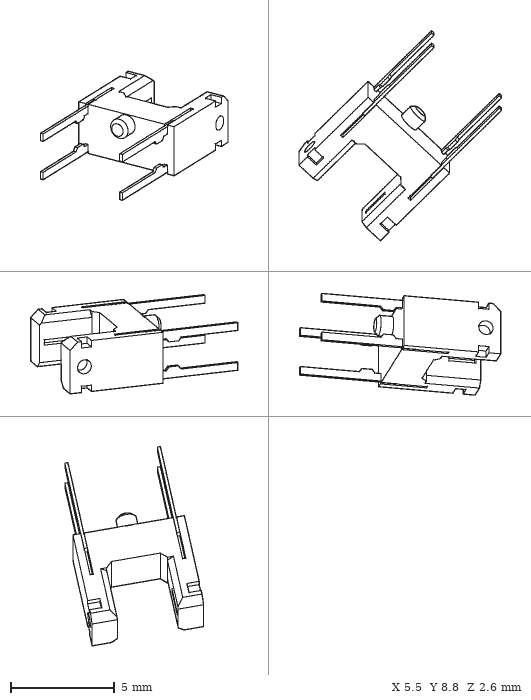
import cadquery as cq

total_length = 8.8
body_width = 5.5
body_length = 4.8
body_height = 2.6
top = body_height / 2
half_width = body_width / 2

gap_width = 2.99
gap_corner = 0.29
gap_bottom = 1.8
arm_start = gap_bottom + gap_corner
arm_length = body_length - arm_start

end_bevel = 0.39
inner_bevel_width = 0.3
inner_bevel_height = 0.3

notch_width = 0.6
notch_length = 0.51
notch_height = 0.33
notch_offset = 0.845

hole_diameter = 0.7
hole_depth = 0.6
hole_offset = 0.74
window_length = 1.35
window_height = 0.27
window_depth = 0.35
window_offset = 0.25

pin_diameter = 1.0
pin_length = 0.8
pin_bevel = 0.18
pin_drop = 0.54

lead_pitch = 4.56
lead_thickness = 0.16
lead_height = 0.4
lead_inset = 0.09
lead_seat = 0.8
lead_slot_length = 2.31
bump_start = 0.31
bump_length = 0.77
bump_height = 0.18
bump_ramp = 0.13


def mirrored(shape):
    """Return the shape together with its reflection across the YZ plane."""
    return shape.union(shape.mirror("YZ"))


def mirrored_in_height(shape):
    """Return the shape together with its reflection across the XY plane."""
    return shape.union(shape.mirror("XY"))


def box_between(x_range, y_range, z_range):
    """Make a box from its lower and upper limits along each axis."""
    sizes = [high - low for low, high in (x_range, y_range, z_range)]
    corner = (x_range[0], y_range[0], z_range[0])
    return cq.Workplane("XY").box(*sizes, centered=False).translate(corner)


def make_body():
    """U-shaped housing with the upper edge of its arm ends bevelled."""
    half_gap = gap_width / 2
    outline = [
        (-half_width, 0),
        (half_width, 0),
        (half_width, body_length),
        (half_gap, body_length),
        (half_gap, arm_start),
        (half_gap - gap_corner, gap_bottom),
        (gap_corner - half_gap, gap_bottom),
        (-half_gap, arm_start),
        (-half_gap, body_length),
        (-half_width, body_length),
    ]
    body = cq.Workplane("XY").workplane(offset=-top).polyline(outline).close().extrude(body_height)
    bevel = (
        cq.Workplane("YZ")
        .polyline([(body_length, top), (body_length - end_bevel, top), (body_length, top - end_bevel)])
        .close()
        .extrude(half_width, both=True)
    )
    return body.cut(bevel)


def inner_bevels():
    """Wedges along the upper and lower inner edges of both arms."""
    inner = gap_width / 2
    wedge = (
        cq.Workplane("XZ", origin=(0, arm_start, 0))
        .polyline([(inner, top), (inner + inner_bevel_width, top), (inner, top - inner_bevel_height)])
        .close()
        .extrude(-arm_length)
    )
    return mirrored(mirrored_in_height(wedge))


def notches():
    """Blocks that notch the upper and lower outer edges of both arms."""
    centre = body_length - notch_offset
    block = box_between(
        (half_width - notch_width, half_width),
        (centre - notch_length / 2, centre + notch_length / 2),
        (top - notch_height, top),
    )
    return mirrored(mirrored_in_height(block))


def sensing_holes():
    """Round blind holes in the outer sides of the arms."""
    centre = (half_width, body_length - hole_offset, 0)
    hole = cq.Workplane("YZ", origin=centre).circle(hole_diameter / 2).extrude(-hole_depth)
    return mirrored(hole)


def sensing_windows():
    """Narrow blind windows in the inner sides of the arms."""
    inner = gap_width / 2
    end = body_length - window_offset
    window = box_between(
        (inner, inner + window_depth),
        (end - window_length, end),
        (-window_height / 2, window_height / 2),
    )
    return mirrored(window)


def lead_slots():
    """Slots in the top and bottom faces, as deep as the far edge of each lead."""
    middle = lead_pitch / 2
    slot = box_between(
        (middle - lead_thickness / 2, middle + lead_thickness / 2),
        (0, lead_slot_length),
        (top - lead_inset - lead_height, top),
    )
    return mirrored(mirrored_in_height(slot))


def leads():
    """Four flat leads, each with a bump on its edge facing the middle height."""
    outer_edge = top - lead_inset
    inner_edge = outer_edge - lead_height
    bump_edge = inner_edge - bump_height
    bump_end = bump_start + bump_length
    outline = [
        (lead_seat, outer_edge),
        (lead_seat, inner_edge),
        (-bump_start, inner_edge),
        (-bump_start - bump_ramp, bump_edge),
        (-bump_end + bump_ramp, bump_edge),
        (-bump_end, inner_edge),
        (body_length - total_length, inner_edge),
        (body_length - total_length, outer_edge),
    ]
    lead = (
        cq.Workplane("YZ", origin=(lead_pitch / 2, 0, 0))
        .polyline(outline)
        .close()
        .extrude(lead_thickness / 2, both=True)
    )
    return mirrored(mirrored_in_height(lead))


def locating_pin():
    """Round pin with a bevelled tip on the lead face."""
    base = (0, 0, top - pin_drop)
    pin = cq.Workplane("XZ", origin=base).circle(pin_diameter / 2).extrude(pin_length)
    return pin.faces("<Y").chamfer(pin_bevel)


result = (
    make_body()
    .cut(inner_bevels())
    .cut(notches())
    .cut(sensing_holes())
    .cut(sensing_windows())
    .cut(lead_slots())
    .union(leads())
    .union(locating_pin())
)